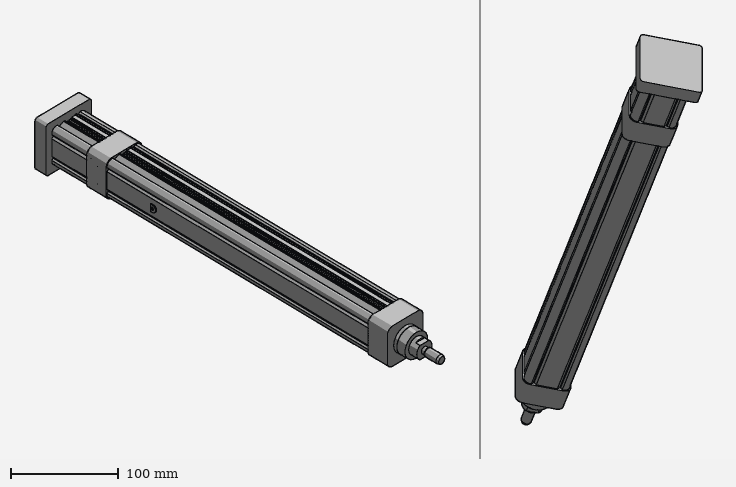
import cadquery as cq


plate_end = 14.5
collar_start = 61.5
cap_length = 25.5
barrel_end = 430.5
shoulder_length = 4.0
bearing_length = 10.5
flats_start = 476.0
rod_shoulder = 481.5
thread_start = 486.0
thread_end = 501.5
overall_length = 504.0
cap_end = barrel_end + cap_length
shoulder_end = cap_end + shoulder_length
bearing_end = shoulder_end + bearing_length

plate_width = 60.0
plate_corner = 3.5

barrel_width = 44.5
barrel_half = barrel_width / 2
flat_half = 16.0
barrel_corner = barrel_half - flat_half

side_groove = [
    (14.85, 0.0),
    (13.2, 1.65),
    (12.35, 1.9),
    (10.0, 0.0),
]

ramp_groove = [
    (-14.85, 0.0),
    (-12.5, 2.5),
    (-6.5, 0.0),
]

top_channel = [
    (8.5, 0.0),
    (8.5, 0.75),
    (4.0, 0.75),
    (4.0, 1.5),
    (2.5, 1.5),
    (2.5, 2.0),
    (1.25, 2.0),
    (0.25, 2.65),
    (-1.25, 2.65),
    (-2.5, 2.2),
    (-4.0, 1.5),
    (-5.0, 1.5),
    (-5.0, 0.0),
]

pad_x = 147.5
pad_radius = 4.3
pad_straight = 2.5
pad_height = 1.25
pad_hole_diameter = 3.0

cap_width = 47.0
cap_corner = cap_width / 2 - flat_half

shoulder_diameter = 30.0
bearing_diameter = 29.5

rod_diameter = 20.0
rod_across_flats = 16.5
neck_diameter = 8.0
thread_diameter = 10.0
tip_diameter = 8.0


def square_bar(width, corner, start, end):
    """Square bar along X with rounded long edges."""
    bar = cq.Workplane("YZ", origin=(start, 0, 0)).rect(width, width).extrude(end - start)
    return bar.edges("|X").fillet(corner)


def round_bar(diameter, start, end):
    """Round bar along X."""
    return cq.Workplane("YZ", origin=(start, 0, 0)).circle(diameter / 2).extrude(end - start)


def barrel_cutter(points):
    """Prism along the whole barrel for cutting its top face, from (Y, depth) points."""
    outline = [(y, barrel_half - depth) for y, depth in points]
    section = cq.Workplane("YZ", origin=(plate_end, 0, 0)).polyline(outline).close()
    return section.extrude(barrel_end - plate_end)


def make_pad():
    """D-shaped pad, straight towards the end plate and round towards the rod."""
    pad = (
        cq.Workplane("XZ", origin=(pad_x, -barrel_half, 0))
        .moveTo(-pad_straight, -pad_radius)
        .lineTo(0, -pad_radius)
        .threePointArc((pad_radius, 0), (0, pad_radius))
        .lineTo(-pad_straight, pad_radius)
        .close()
        .extrude(pad_height)
    )
    return pad.faces("<Y").workplane(origin=(pad_x, 0, 0)).hole(pad_hole_diameter)


def make_barrel():
    """Barrel with two grooves on each side, a channel and a ramp on top, and the pad in front."""
    barrel = square_bar(barrel_width, barrel_corner, plate_end, barrel_end)
    for side in (-1, 1):
        groove = barrel_cutter([(side * distance, depth) for distance, depth in side_groove])
        for quarter_turn in range(4):
            barrel = barrel.cut(groove.rotate((0, 0, 0), (1, 0, 0), 90 * quarter_turn))
    barrel = barrel.cut(barrel_cutter(ramp_groove))
    barrel = barrel.cut(barrel_cutter(top_channel))
    return barrel.union(make_pad())


def make_collar(barrel):
    """Square collar fitted around the barrel."""
    collar = square_bar(cap_width, cap_corner, collar_start, collar_start + cap_length)
    return collar.cut(barrel)


def make_cap():
    """Square front cap with a stepped round bearing, bored through for the rod."""
    cap = square_bar(cap_width, cap_corner, barrel_end, cap_end)
    cap = cap.union(round_bar(shoulder_diameter, cap_end, shoulder_end))
    cap = cap.union(round_bar(bearing_diameter, shoulder_end, bearing_end))
    return cap.cut(round_bar(rod_diameter, barrel_end, bearing_end))


def make_rod():
    """Piston rod with two wrench flats, a neck and a threaded end with a tapered tip."""
    outline = [
        (barrel_end, 0),
        (barrel_end, rod_diameter / 2),
        (rod_shoulder, rod_diameter / 2),
        (rod_shoulder, neck_diameter / 2),
        (thread_start, neck_diameter / 2),
        (thread_start, thread_diameter / 2),
        (thread_end, thread_diameter / 2),
        (overall_length, tip_diameter / 2),
        (overall_length, 0),
    ]
    rod = cq.Workplane("XZ").polyline(outline).close().revolve(360, (0, 0, 0), (1, 0, 0))
    flats_length = rod_shoulder - flats_start
    for side in (-1, 1):
        flat = cq.Workplane("XY").box(flats_length, rod_diameter, rod_diameter)
        flat_z = side * (rod_across_flats + rod_diameter) / 2
        rod = rod.cut(flat.translate((flats_start + flats_length / 2, 0, flat_z)))
    return rod


end_plate = square_bar(plate_width, plate_corner, 0, plate_end)
barrel = make_barrel()
collar = make_collar(barrel)
cap = make_cap()
rod = make_rod()

result = cq.Compound.makeCompound(
    [end_plate.val(), barrel.val(), collar.val(), cap.val(), rod.val()]
)